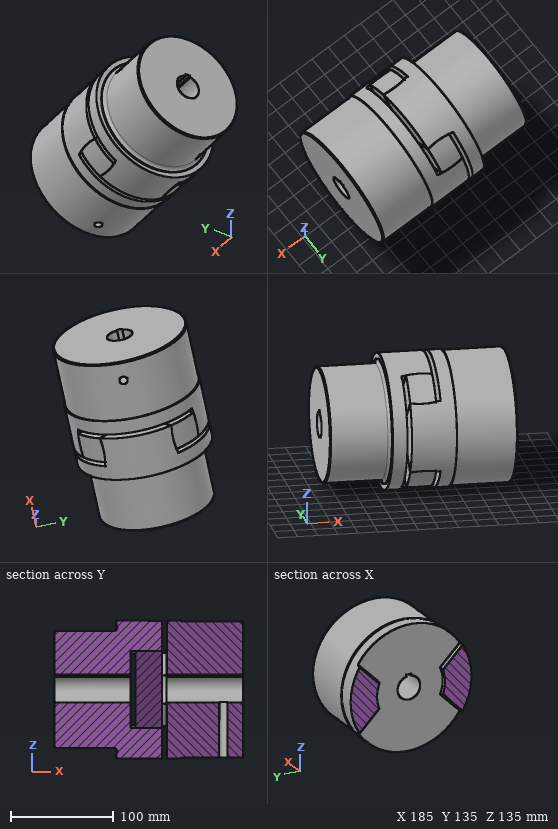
import cadquery as cq

length = 185.0
mid_x = length / 2

left_hub_radius = 57.4
right_hub_radius = 66.6
flange_radius = 67.5
flange_half_span = 31.8
root_half_span = 17.4
jaw_half_span = 13.0
jaw_inner_radius = 37.5
relief_depth = 1.0
fillet_radius = 4.0
end_chamfer = 1.1

bore_radius = 12.5
key_width = 5.2
key_top = 14.2

screw_diameter = 8.0
screw_x = 165.4

lobe_half_width = 16.6
lobe_end_half_width = 14.5
lobe_angles = (45, 135, 225, 315)


def cylinder(x_start, x_end, radius):
    """Cylinder about the X axis between two stations."""
    return cq.Workplane("YZ", origin=(x_start, 0, 0)).circle(radius).extrude(x_end - x_start)


def lobe_cutter(angle):
    """Barrel-sided block running outward from the axis between two jaws."""
    start = mid_x - root_half_span
    end = mid_x + root_half_span
    block = (
        cq.Workplane("XY")
        .moveTo(start, -lobe_end_half_width)
        .threePointArc((mid_x, -lobe_half_width), (end, -lobe_end_half_width))
        .lineTo(end, lobe_end_half_width)
        .threePointArc((mid_x, lobe_half_width), (start, lobe_end_half_width))
        .close()
        .extrude(2 * flange_radius)
    )
    return block.rotate((0, 0, 0), (1, 0, 0), angle)


def all_lobes():
    """The four lobe blocks as one cutting shape."""
    lobes = lobe_cutter(lobe_angles[0])
    for angle in lobe_angles[1:]:
        lobes = lobes.union(lobe_cutter(angle))
    return lobes


def jaw_pair(x_start, x_end, across_z):
    """Two opposite jaws, on the Z sides or on the Y sides of the axis."""
    ring = cylinder(x_start, x_end, flange_radius).cut(cylinder(x_start, x_end, jaw_inner_radius))
    reach = 2 * flange_radius
    sector = (
        cq.Workplane("YZ", origin=(x_start, 0, 0))
        .polyline([(0, 0), (reach, reach), (-reach, reach)])
        .close()
        .polyline([(0, 0), (reach, -reach), (-reach, -reach)])
        .close()
        .extrude(x_end - x_start)
    )
    if not across_z:
        sector = sector.rotate((0, 0, 0), (1, 0, 0), 90)
    return ring.intersect(sector).cut(all_lobes())


def keyed_bore(x_start, x_end):
    """Cutting shape of a round bore with a keyway on its +Z side."""
    bore_length = x_end - x_start
    keyway = cq.Workplane("XY", origin=(x_start, 0, 0)).box(
        bore_length, key_width, key_top, centered=(False, True, False)
    )
    return cylinder(x_start, x_end, bore_radius).union(keyway)


def screw_hole():
    """Radial hole running from the bore axis out through the -Z side."""
    return (
        cq.Workplane("XY", origin=(screw_x, 0, 0))
        .circle(screw_diameter / 2)
        .extrude(-2 * right_hub_radius)
    )


def left_hub_body(root_face):
    """Barrel and flange of the left hub, with a filleted relief where they meet."""
    flange_face = mid_x - flange_half_span
    relief_floor = flange_face + relief_depth
    fillet_start = relief_floor - fillet_radius
    relief_radius = left_hub_radius + fillet_radius
    fillet_inset = fillet_radius * (1 - 0.5**0.5)
    return (
        cq.Workplane("XY")
        .moveTo(0, 0)
        .lineTo(0, left_hub_radius - end_chamfer)
        .lineTo(end_chamfer, left_hub_radius)
        .lineTo(fillet_start, left_hub_radius)
        .threePointArc(
            (relief_floor - fillet_inset, left_hub_radius + fillet_inset),
            (relief_floor, relief_radius),
        )
        .lineTo(flange_face, relief_radius)
        .lineTo(flange_face, flange_radius)
        .lineTo(root_face, flange_radius)
        .lineTo(root_face, 0)
        .close()
        .revolve(360, (0, 0, 0), (1, 0, 0))
    )


def make_left_hub():
    """Smaller hub with a keyed bore and jaws on the Z sides."""
    root_face = mid_x - root_half_span
    jaws = jaw_pair(root_face, mid_x + jaw_half_span, True)
    return left_hub_body(root_face).union(jaws).cut(keyed_bore(0, root_face))


def make_right_hub():
    """Larger hub with a keyed bore, a set screw hole and jaws on the Y sides."""
    flange_face = mid_x + flange_half_span
    root_face = mid_x + root_half_span
    barrel = cylinder(flange_face, length, right_hub_radius).faces(">X").chamfer(end_chamfer)
    hub = barrel.union(cylinder(root_face, flange_face, flange_radius))
    hub = hub.union(jaw_pair(mid_x - jaw_half_span, root_face, False))
    return hub.cut(keyed_bore(root_face, length)).cut(screw_hole())


def make_spider():
    """Insert with a solid core and one lobe in each space between the jaws."""
    tip_start = mid_x - jaw_half_span
    tip_end = mid_x + jaw_half_span
    lobes = cylinder(tip_start, tip_end, flange_radius).intersect(all_lobes())
    return cylinder(tip_start, tip_end, jaw_inner_radius).union(lobes)


left_hub = make_left_hub()
right_hub = make_right_hub()
spider = make_spider()
result = cq.Compound.makeCompound([left_hub.val(), right_hub.val(), spider.val()])